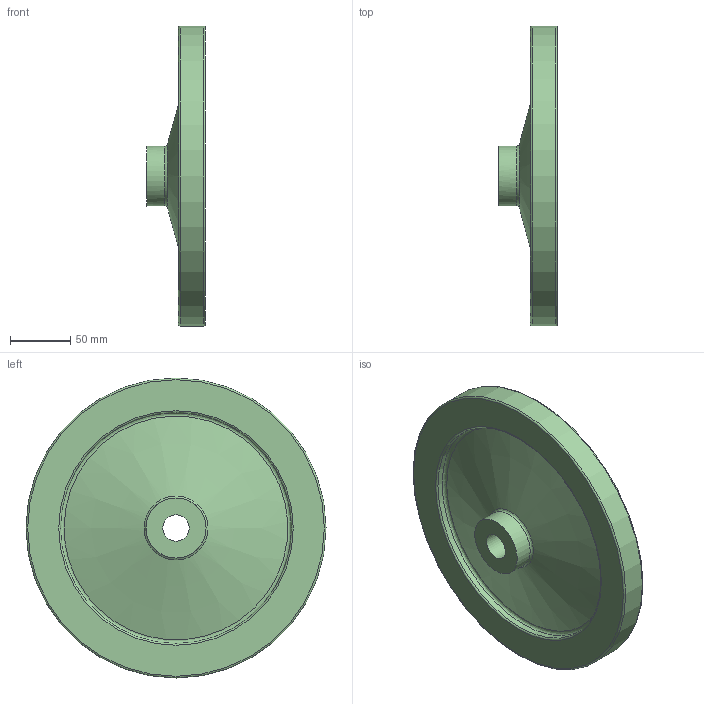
import cadquery as cq
import math

total_length = 49.0
wheel_diameter = 250.0
rim_width = 22.5
rim_edge_fillet = 1.4

hub_diameter = 50.0
bore_diameter = 22.0
hub_root_fillet = 2.2

recess_diameter = 192.62
recess_edge_fillet = 1.4
recess_root_fillet = 2.4

cone_start = 17.0
cone_angle = math.radians(15.0)

wheel_radius = wheel_diameter / 2
hub_radius = hub_diameter / 2
bore_radius = bore_diameter / 2
recess_radius = recess_diameter / 2
rim_face = total_length - rim_width
cone_end = cone_start + (recess_radius - hub_radius) * math.tan(cone_angle)


def make_body():
    """Revolve the sharp-cornered half section: hub, conical web, recess wall and rim."""
    return (
        cq.Workplane("XY")
        .moveTo(0, bore_radius)
        .lineTo(0, hub_radius)
        .lineTo(cone_start, hub_radius)
        .lineTo(cone_end, recess_radius)
        .lineTo(rim_face, recess_radius)
        .lineTo(rim_face, wheel_radius)
        .lineTo(total_length, wheel_radius)
        .lineTo(total_length, bore_radius)
        .close()
        .revolve(360, (0, 0, 0), (1, 0, 0))
    )


def fillet_circle(body, x, radius, fillet_radius):
    """Round the circular edge of the given radius that lies at X = x."""
    margin = 0.01
    near = cq.selectors.BoxSelector(
        (x - margin, -radius - margin, -radius - margin),
        (x + margin, radius + margin, radius + margin),
        boundingbox=True,
    )
    inside = cq.selectors.BoxSelector(
        (x - margin, -radius + margin, -radius + margin),
        (x + margin, radius - margin, radius - margin),
        boundingbox=True,
    )
    return body.edges(near - inside).fillet(fillet_radius)


result = make_body()
result = fillet_circle(result, cone_start, hub_radius, hub_root_fillet)
result = fillet_circle(result, cone_end, recess_radius, recess_root_fillet)
result = fillet_circle(result, rim_face, recess_radius, recess_edge_fillet)
result = fillet_circle(result, rim_face, wheel_radius, rim_edge_fillet)
result = fillet_circle(result, total_length, wheel_radius, rim_edge_fillet)